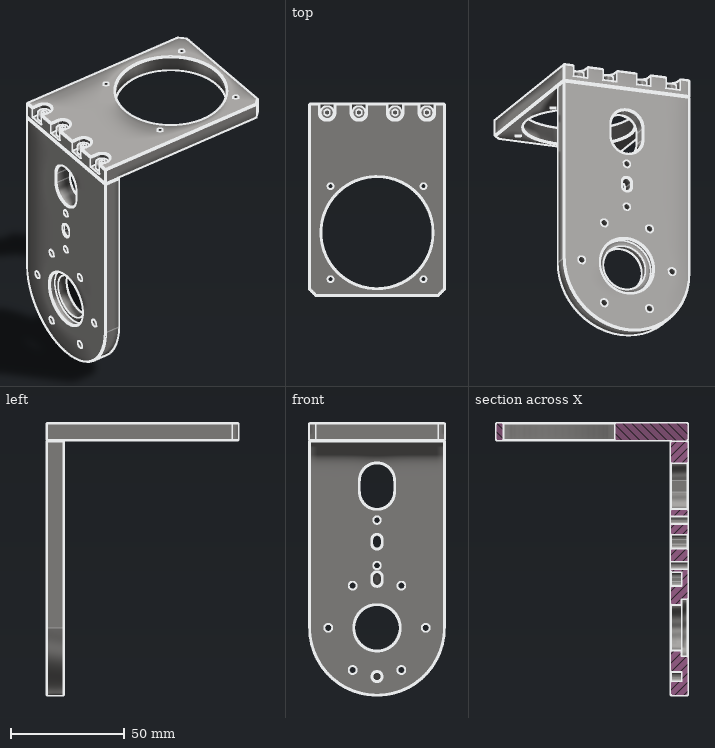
import cadquery as cq
import math

width = 60.0
plate_thickness = 8.0
edge_chamfer = 0.5
back_y = plate_thickness / 2

bottom_radius = width / 2
upright_top_z = 82.5
bearing_hole_diameter = 20.0
bearing_seat_diameter = 25.0
bearing_seat_depth = 3.0
bolt_circle_radius = 21.5
bolt_count = 6
bolt_hole_diameter = 3.4
cable_slot_z = 62.5
cable_slot_width = 15.0
cable_slot_length = 20.0
line_hole_heights = (27.5, 47.5)
line_hole_diameter = 3.2
pin_width = 4.0
pin_slot_length = 6.0
pin_slot_z = 38.0
pin_depth = 5.0

plate_length = 85.0
plate_top_z = upright_top_z + plate_thickness
corner_chamfer = 3.0
motor_hole_diameter = 49.0
motor_hole_setback = 57.0
motor_hole_y = back_y - motor_hole_setback
motor_bolt_spacing = 41.0
motor_bolt_diameter = 2.5

screw_positions = (-22.0, -8.0, 8.0, 22.0)
shank_diameter = 3.0
clearance_diameter = 3.4
shank_length = 12.0
head_diameter = 5.68
head_height = 3.0
head_fillet = 0.3
hex_across_flats = 2.5
hex_depth = 1.3
notch_width = 6.5
notch_depth = 5.3
seat_z = plate_top_z - notch_depth
screw_hole_bottom_z = seat_z - shank_length


def front_plane(y):
    """Plane facing -Y, with local X along X and local Y along Z."""
    return cq.Workplane("XZ", origin=(0, y, 0))


def upright_opening(z, opening_width, opening_length, depth):
    """Cutter for a vertical slot or round hole in the front face, chamfered at each open end."""
    front = front_plane(-back_y)

    def profile(workplane, grow):
        workplane = workplane.center(0, z)
        if opening_length > opening_width:
            return workplane.slot2D(opening_length + grow, opening_width + grow, 90)
        return workplane.circle((opening_width + grow) / 2)

    bore = profile(front, 0).extrude(-depth)
    mouth = profile(front, 2 * edge_chamfer).extrude(-edge_chamfer, taper=45)
    cutter = bore.union(mouth)
    if depth >= plate_thickness:
        back_mouth = profile(front_plane(back_y), 2 * edge_chamfer).extrude(edge_chamfer, taper=45)
        cutter = cutter.union(back_mouth)
    return cutter


def make_upright():
    body = (
        front_plane(back_y)
        .moveTo(-width / 2, upright_top_z)
        .lineTo(-width / 2, 0)
        .threePointArc((0, -bottom_radius), (width / 2, 0))
        .lineTo(width / 2, upright_top_z)
        .close()
        .extrude(plate_thickness)
        .faces("<Y or >Y or >Z").edges().chamfer(edge_chamfer)
    )
    openings = (
        (0, bearing_hole_diameter, bearing_hole_diameter, plate_thickness),
        (cable_slot_z, cable_slot_width, cable_slot_length, plate_thickness),
        (pin_slot_z, pin_width, pin_slot_length, plate_thickness),
        (bolt_circle_radius, pin_width, pin_slot_length, pin_depth),
        (-bolt_circle_radius, pin_width, pin_width, pin_depth),
    )
    for opening in openings:
        body = body.cut(upright_opening(*opening))

    bearing_seat = front_plane(back_y).circle(bearing_seat_diameter / 2).extrude(bearing_seat_depth)
    bearing_seat_mouth = (
        front_plane(back_y)
        .circle(bearing_seat_diameter / 2 + edge_chamfer)
        .extrude(edge_chamfer, taper=45)
    )
    body = body.cut(bearing_seat).cut(bearing_seat_mouth)

    bolt_holes = (
        front_plane(back_y)
        .polarArray(bolt_circle_radius, 0, 360, bolt_count)
        .circle(bolt_hole_diameter / 2)
        .extrude(plate_thickness)
    )
    line_holes = (
        front_plane(back_y)
        .pushPoints([(0, z) for z in line_hole_heights])
        .circle(line_hole_diameter / 2)
        .extrude(plate_thickness)
    )
    screw_holes = (
        cq.Workplane("XY", origin=(0, 0, screw_hole_bottom_z))
        .pushPoints([(x, 0) for x in screw_positions])
        .circle(shank_diameter / 2)
        .extrude(upright_top_z - screw_hole_bottom_z)
    )
    return body.cut(bolt_holes).cut(line_holes).cut(screw_holes)


def screw_notch(x):
    """Cutter for a round-ended notch, open to the back, over one screw with a chamfered rim."""

    def profile(z, notch):
        return (
            cq.Workplane("XY", origin=(x, 0, z))
            .moveTo(-notch / 2, 2 * back_y)
            .lineTo(-notch / 2, 0)
            .threePointArc((0, -notch / 2), (notch / 2, 0))
            .lineTo(notch / 2, 2 * back_y)
            .close()
        )

    pocket = profile(seat_z, notch_width).extrude(notch_depth)
    rim = profile(plate_top_z, notch_width + 2 * edge_chamfer).extrude(-edge_chamfer, taper=45)
    return pocket.union(rim)


def make_top_plate():
    body = (
        cq.Workplane("XY", origin=(0, back_y - plate_length / 2, upright_top_z))
        .rect(width, plate_length)
        .extrude(plate_thickness)
        .edges("|Z and <Y").chamfer(corner_chamfer)
        .faces("<Z or >Z or >Y").edges().chamfer(edge_chamfer)
    )
    motor_hole_top = cq.Workplane("XY", origin=(0, motor_hole_y, plate_top_z))
    motor_hole_bottom = cq.Workplane("XY", origin=(0, motor_hole_y, upright_top_z))
    rim_radius = motor_hole_diameter / 2 + edge_chamfer
    body = (
        body.cut(motor_hole_bottom.circle(motor_hole_diameter / 2).extrude(plate_thickness))
        .cut(motor_hole_top.circle(rim_radius).extrude(-edge_chamfer, taper=45))
        .cut(motor_hole_bottom.circle(rim_radius).extrude(edge_chamfer, taper=45))
    )
    motor_bolt_holes = (
        motor_hole_bottom.rect(motor_bolt_spacing, motor_bolt_spacing, forConstruction=True)
        .vertices()
        .circle(motor_bolt_diameter / 2)
        .extrude(plate_thickness)
    )
    body = body.cut(motor_bolt_holes)
    for x in screw_positions:
        clearance_hole = (
            cq.Workplane("XY", origin=(x, 0, upright_top_z))
            .circle(clearance_diameter / 2)
            .extrude(plate_thickness)
        )
        body = body.cut(screw_notch(x)).cut(clearance_hole)
    return body


def make_screw(x):
    """Socket head screw standing on the notch floor."""
    head = (
        cq.Workplane("XY", origin=(x, 0, seat_z))
        .circle(head_diameter / 2)
        .extrude(head_height)
        .faces(">Z").edges().fillet(head_fillet)
    )
    shank = (
        cq.Workplane("XY", origin=(x, 0, screw_hole_bottom_z))
        .circle(shank_diameter / 2)
        .extrude(shank_length)
    )
    hex_across_corners = hex_across_flats / math.cos(math.pi / 6)
    socket = (
        cq.Workplane("XY", origin=(x, 0, seat_z + head_height))
        .transformed(rotate=(0, 0, 90))
        .polygon(6, hex_across_corners)
        .extrude(-hex_depth)
    )
    return head.union(shank).cut(socket)


upright = make_upright()
top_plate = make_top_plate()
screws = [make_screw(x) for x in screw_positions]

result = cq.Compound.makeCompound(
    [upright.val(), top_plate.val(), *[screw.val() for screw in screws]]
)